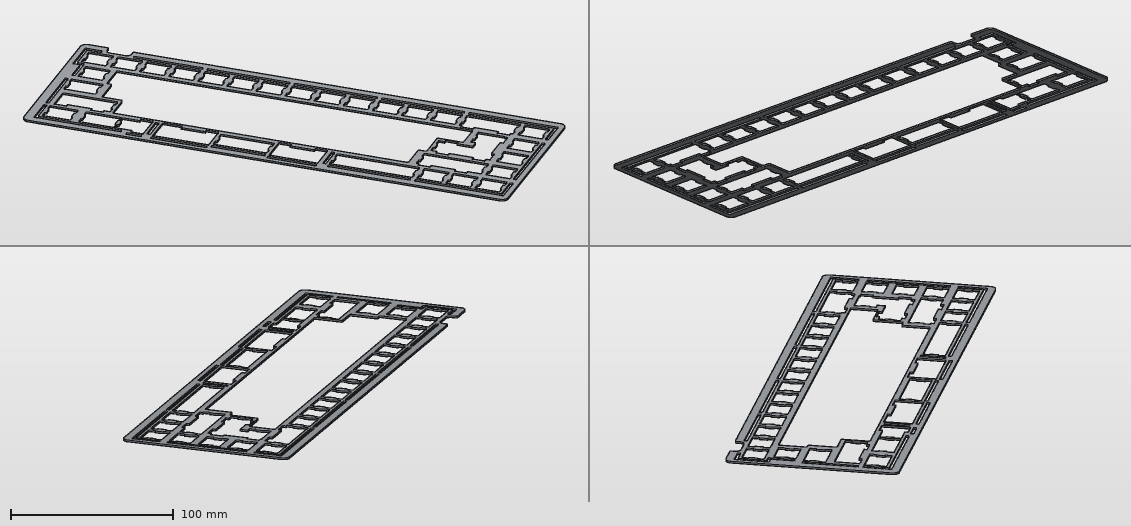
import cadquery as cq


PLATE_LENGTH = 317.0
PLATE_WIDTH = 108.6
PLATE_THICKNESS = 1.2
PLATE_CORNER_RADIUS = 4.0

UNIT = 19.05
COLUMNS = 16
GRID_LEFT = -COLUMNS * UNIT / 2
ROW_Y = [2 * UNIT, UNIT, 0.0, -UNIT, -2 * UNIT]

SWITCH_SIZE = 14.0
HALF_SWITCH = SWITCH_SIZE / 2
TAB_DEPTH = 1.0
TAB_WIDTH = 5.4
HALF_OPENING = HALF_SWITCH + TAB_DEPTH
CORNER_RADIUS = 0.49

STABILIZER_OFFSET = 11.94
STABILIZER_WIDTH = 8.0
HALF_STABILIZER = STABILIZER_WIDTH / 2
STABILIZER_REACH = 9.0

WEB = 2.0
SLOT_WIDTH = 2.0


def key_x(units):
    """X of a point given in key units from the left end of the key grid."""
    return GRID_LEFT + units * UNIT


def prism(points):
    """Through-cutter with a polygonal outline."""
    return cq.Workplane("XY").polyline(points).close().extrude(PLATE_THICKNESS)


def rounded(points, radius=CORNER_RADIUS):
    """Through-cutter with a polygonal outline and rounded corners."""
    return prism(points).edges("|Z").fillet(radius)


def box_points(left, right, bottom, top):
    return [(left, bottom), (right, bottom), (right, top), (left, top)]


def slot(left, right, bottom, top):
    return rounded(box_points(left, right, bottom, top))


def opening(left, right, y, left_tab=True, right_tab=True):
    """Switch opening between two X positions, with a tab on either end."""
    bottom, top = y - HALF_SWITCH, y + HALF_SWITCH
    tab_bottom, tab_top = y - TAB_WIDTH / 2, y + TAB_WIDTH / 2
    points = [(left, bottom), (right, bottom)]
    if right_tab:
        tip = right - TAB_DEPTH
        points += [(right, tab_bottom), (tip, tab_bottom), (tip, tab_top), (right, tab_top)]
    points += [(right, top), (left, top)]
    if left_tab:
        tip = left + TAB_DEPTH
        points += [(left, tab_top), (tip, tab_top), (tip, tab_bottom), (left, tab_bottom)]
    return rounded(points)


def key_opening(first, last, y):
    """Opening that takes a switch centred anywhere from `first` to `last` key units."""
    return opening(key_x(first) - HALF_OPENING, key_x(last) + HALF_OPENING, y)


def stabilizer(x, bottom, top):
    return prism(box_points(x - HALF_STABILIZER, x + HALF_STABILIZER, bottom, top))


def lower_stabilizers(center_x, y):
    """Pair of stabilizer notches along the lower edge of an opening."""
    left = stabilizer(center_x - STABILIZER_OFFSET, y - STABILIZER_REACH, y)
    right = stabilizer(center_x + STABILIZER_OFFSET, y - STABILIZER_REACH, y)
    return left.union(right)


FIRST_COLUMN = 0.5
NUMBER_KEYS = 13
LAST_COLUMN = 15.5
TAB_KEY = 0.75
CAPS_LOCK = (0.625, 0.875)
CONTROL = (0.625, 0.75)
LEFT_SHIFT = 1.125
ISO_SHIFT_KEY = 1.75
RIGHT_SHIFT = 13.625
RIGHT_SHIFT_KEYS = (13.125, 14.5)
BACKSPACE = 14.0
BACKSPACE_KEYS = (13.5, 14.5)
BACKSLASH = 14.25
HASH_KEY = 13.25
ANSI_ENTER = 13.875
ISO_ENTER = 14.375
META_KEYS = (1.875, 2.25)
LEFT_ALT = 3.125
LEFT_SPACE = 5.125
MIDDLE_SPACE_KEYS = (6.5, 7.5)
RIGHT_SPACE = 8.875
FULL_SPACE = 6.5
FULL_SPACE_STABILIZER_OFFSET = 3 * UNIT
LONG_SPACE = 6.875
LONG_SPACE_STABILIZER_OFFSET = 50.0
RIGHT_ALT_KEYS = (10.5, 12.5)
BOTTOM_RIGHT_KEYS = (13.5, 14.5)

FIELD_RIGHT = key_x(LAST_COLUMN) + HALF_OPENING
NUMBER_ROW_LEFT = key_x(FIRST_COLUMN) - HALF_OPENING
TAB_LEFT = key_x(TAB_KEY) - HALF_OPENING
CONTROL_LEFT = key_x(CONTROL[0]) - HALF_OPENING
SHIFT_LEFT = key_x(LEFT_SHIFT) - STABILIZER_OFFSET - HALF_STABILIZER
SHIFT_RIGHT = key_x(ISO_SHIFT_KEY) + HALF_OPENING
FULL_SPACE_LEFT = key_x(FULL_SPACE) - FULL_SPACE_STABILIZER_OFFSET
ALT_RIGHT = FULL_SPACE_LEFT + HALF_STABILIZER
LEFT_SPACE_LEFT = key_x(LONG_SPACE) - LONG_SPACE_STABILIZER_OFFSET - HALF_STABILIZER
LEFT_SPACE_RIGHT = key_x(LEFT_SPACE) + STABILIZER_OFFSET + HALF_STABILIZER
RIGHT_SPACE_LEFT = key_x(RIGHT_SPACE) - STABILIZER_OFFSET - HALF_STABILIZER
RIGHT_SPACE_RIGHT = key_x(RIGHT_SPACE) + STABILIZER_OFFSET + HALF_STABILIZER
MIDDLE_SPACE_LEFT = key_x(MIDDLE_SPACE_KEYS[0]) - HALF_OPENING
MIDDLE_SPACE_RIGHT = key_x(MIDDLE_SPACE_KEYS[1]) + HALF_OPENING
RIGHT_ALT_LEFT = key_x(RIGHT_ALT_KEYS[0]) - HALF_OPENING
RIGHT_ALT_RIGHT = key_x(RIGHT_ALT_KEYS[1]) + HALF_OPENING
BOTTOM_RIGHT_LEFT = key_x(BOTTOM_RIGHT_KEYS[0]) - HALF_OPENING

FIELD_TOP = ROW_Y[0] + HALF_SWITCH
FIELD_BOTTOM = ROW_Y[4] - HALF_SWITCH
SPACE_TOP = ROW_Y[4] + STABILIZER_REACH
SPACE_BOTTOM = ROW_Y[4] - STABILIZER_REACH

NOTCH_X = key_x(1)
NOTCH_HALF_WIDTH = 8.0
NOTCH_RIM = 3.0
NOTCH_FLOOR = FIELD_TOP + NOTCH_RIM
NOTCH_FLOOR_RADIUS = 3.0
NOTCH_MOUTH_RADIUS = 1.0
NOTCH_SLOT_CLEARANCE = 2.5

WINDOW_TOP = ROW_Y[0] - STABILIZER_REACH - WEB
WINDOW_STEP_Y = 9.05
WINDOW_ENTER_STEP_Y = 10.0
ROW_2_RIM = 4.0
WIDE_RIM = 5.0
WINDOW_CORNER_RADIUS = 1.0

KEYS_PER_BACK_SLOT = 3
FULL_BACK_SLOTS = 3
FIRST_BACK_SLOT_END = 3.5
RIB_SLOT_HALF_LENGTH = 8.0
BOTTOM_SLOT_GAP = 2 * WEB


def plate_blank():
    blank = cq.Workplane("XY").rect(PLATE_LENGTH, PLATE_WIDTH).extrude(PLATE_THICKNESS)
    return blank.edges("|Z").fillet(PLATE_CORNER_RADIUS)


def usb_notch(plate):
    back = PLATE_WIDTH / 2
    left, right = NOTCH_X - NOTCH_HALF_WIDTH, NOTCH_X + NOTCH_HALF_WIDTH
    cutter = prism(box_points(left, right, NOTCH_FLOOR, back))
    cutter = cutter.edges("|Z and <Y").fillet(NOTCH_FLOOR_RADIUS)
    plate = plate.cut(cutter)
    pick = cq.selectors.BoxSelector(
        (left - WEB, back - NOTCH_MOUTH_RADIUS, -PLATE_THICKNESS),
        (right + WEB, back + NOTCH_MOUTH_RADIUS, 2 * PLATE_THICKNESS),
    )
    return plate.edges("|Z").edges(pick).fillet(NOTCH_MOUTH_RADIUS)


def number_row():
    y = ROW_Y[0]
    cutters = [key_opening(FIRST_COLUMN + i, FIRST_COLUMN + i, y) for i in range(NUMBER_KEYS)]
    backspace = key_opening(*BACKSPACE_KEYS, y)
    cutters.append(backspace.union(lower_stabilizers(key_x(BACKSPACE), y)))
    return cutters


def last_column():
    return [key_opening(LAST_COLUMN, LAST_COLUMN, y) for y in ROW_Y]


def left_keys():
    shift = opening(SHIFT_LEFT, SHIFT_RIGHT, ROW_Y[3], left_tab=False)
    return [
        key_opening(TAB_KEY, TAB_KEY, ROW_Y[1]),
        key_opening(*CAPS_LOCK, ROW_Y[2]),
        shift.union(lower_stabilizers(key_x(LEFT_SHIFT), ROW_Y[3])),
    ]


def right_shift():
    y = ROW_Y[3]
    return key_opening(*RIGHT_SHIFT_KEYS, y).union(lower_stabilizers(key_x(RIGHT_SHIFT), y))


def enter_cluster():
    """Joined openings for a one-row enter, a two-row enter and their neighbours."""
    upper_y, lower_y = ROW_Y[1], ROW_Y[2]
    middle_y = (upper_y + lower_y) / 2
    iso_x = key_x(ISO_ENTER)
    ansi_x = key_x(ANSI_ENTER)
    left, right = iso_x - HALF_SWITCH, iso_x + HALF_SWITCH
    cluster = rounded(box_points(left, right, lower_y - HALF_SWITCH, upper_y + HALF_SWITCH))
    for key, y in ((BACKSLASH, upper_y), (HASH_KEY, lower_y)):
        cluster = cluster.union(opening(key_x(key) - HALF_OPENING, right, y, right_tab=False))
    cluster = cluster.union(lower_stabilizers(ansi_x, lower_y))
    top_notch = stabilizer(ansi_x - STABILIZER_OFFSET, lower_y, lower_y + STABILIZER_REACH)
    cluster = cluster.union(top_notch)
    for side in (-1, 1):
        y = middle_y + side * STABILIZER_OFFSET
        notch = box_points(iso_x, iso_x + STABILIZER_REACH, y - HALF_STABILIZER, y + HALF_STABILIZER)
        cluster = cluster.union(prism(notch))
    return cluster


def stabilized_space(left, right, center):
    """Rectangular spacebar opening; its upper edge drops between the two stabilizers."""
    inner_left = key_x(center) - STABILIZER_OFFSET + HALF_STABILIZER
    inner_right = key_x(center) + STABILIZER_OFFSET - HALF_STABILIZER
    drop_y = ROW_Y[4] + HALF_SWITCH
    return prism([
        (left, SPACE_BOTTOM), (right, SPACE_BOTTOM), (right, SPACE_TOP),
        (inner_right, SPACE_TOP), (inner_right, drop_y),
        (inner_left, drop_y), (inner_left, SPACE_TOP), (left, SPACE_TOP),
    ])


def bottom_row():
    y = ROW_Y[4]
    left_alt = opening(key_x(LEFT_ALT) - HALF_OPENING, ALT_RIGHT, y, right_tab=False)
    left_alt = left_alt.union(stabilizer(FULL_SPACE_LEFT, SPACE_BOTTOM, SPACE_TOP))
    cutters = [
        key_opening(*CONTROL, y),
        key_opening(*META_KEYS, y),
        left_alt,
        stabilized_space(LEFT_SPACE_LEFT, LEFT_SPACE_RIGHT, LEFT_SPACE),
        key_opening(*MIDDLE_SPACE_KEYS, y),
        stabilized_space(RIGHT_SPACE_LEFT, RIGHT_SPACE_RIGHT, RIGHT_SPACE),
        key_opening(*RIGHT_ALT_KEYS, y),
    ]
    cutters += [key_opening(key, key, y) for key in BOTTOM_RIGHT_KEYS]
    return cutters


def central_window():
    top, bottom = WINDOW_TOP, -WINDOW_TOP
    row_2_left = key_x(TAB_KEY) + HALF_OPENING + ROW_2_RIM
    row_3_left = key_x(CAPS_LOCK[1]) + HALF_OPENING + WIDE_RIM
    row_4_left = SHIFT_RIGHT + WEB
    row_2_right = key_x(BACKSLASH) - HALF_OPENING - ROW_2_RIM
    row_3_right = key_x(HASH_KEY) - HALF_OPENING - WEB
    row_4_right = key_x(RIGHT_SHIFT_KEYS[0]) - HALF_OPENING - WIDE_RIM
    outline = [
        (row_2_left, top), (row_2_right, top),
        (row_2_right, WINDOW_ENTER_STEP_Y), (row_3_right, WINDOW_ENTER_STEP_Y),
        (row_3_right, -WINDOW_STEP_Y), (row_4_right, -WINDOW_STEP_Y),
        (row_4_right, bottom), (row_4_left, bottom),
        (row_4_left, -WINDOW_STEP_Y), (row_3_left, -WINDOW_STEP_Y),
        (row_3_left, WINDOW_STEP_Y), (row_2_left, WINDOW_STEP_Y),
    ]
    return rounded(outline, WINDOW_CORNER_RADIUS)


def back_slots():
    """Slots behind the number row, split in line with the web after every third key."""
    inner, outer = FIELD_TOP + WEB, FIELD_TOP + WEB + SLOT_WIDTH
    first_left = NOTCH_X + NOTCH_HALF_WIDTH + NOTCH_SLOT_CLEARANCE
    cutters = [slot(first_left, key_x(FIRST_BACK_SLOT_END) + HALF_OPENING, inner, outer)]
    for group in range(FULL_BACK_SLOTS):
        first_key = FIRST_BACK_SLOT_END + 1 + group * KEYS_PER_BACK_SLOT
        last_key = first_key + KEYS_PER_BACK_SLOT - 1
        left = key_x(first_key) - HALF_OPENING
        right = key_x(last_key) + HALF_OPENING
        cutters.append(slot(left, right, inner, outer))
    return cutters


def left_slots():
    """Stepped slot beside the upper two rows and a straight one beside the next two."""
    back_inner, back_outer = FIELD_TOP + WEB, FIELD_TOP + WEB + SLOT_WIDTH
    upper_inner = NUMBER_ROW_LEFT - WEB
    upper_outer = upper_inner - SLOT_WIDTH
    lower_inner = TAB_LEFT - WEB
    lower_outer = lower_inner - SLOT_WIDTH
    step_top = ROW_Y[0] - HALF_SWITCH - WEB
    step_bottom = step_top - SLOT_WIDTH
    end_y = ROW_Y[1] - HALF_SWITCH
    end_x = NOTCH_X - NOTCH_HALF_WIDTH - NOTCH_SLOT_CLEARANCE
    stepped = rounded([
        (end_x, back_outer), (upper_outer, back_outer),
        (upper_outer, step_bottom), (lower_outer, step_bottom),
        (lower_outer, end_y), (lower_inner, end_y),
        (lower_inner, step_top), (upper_inner, step_top),
        (upper_inner, back_inner), (end_x, back_inner),
    ])
    straight_inner = CONTROL_LEFT - WEB
    straight = slot(
        straight_inner - SLOT_WIDTH, straight_inner,
        ROW_Y[3] - STABILIZER_REACH, ROW_Y[2] + HALF_SWITCH,
    )
    return [stepped, straight]


def corner_slot(side_inner, side_outer, side_end, edge_inner, edge_outer, edge_end):
    """L-shaped slot around one corner of the key field."""
    return rounded([
        (edge_end, edge_outer), (side_outer, edge_outer), (side_outer, side_end),
        (side_inner, side_end), (side_inner, edge_inner), (edge_end, edge_inner),
    ])


def right_slots():
    inner, outer = FIELD_RIGHT + WEB, FIELD_RIGHT + WEB + SLOT_WIDTH
    cutters = [slot(inner, outer, ROW_Y[3] - HALF_SWITCH, ROW_Y[1] + HALF_SWITCH)]
    for side in (-1, 1):
        edge_inner = side * (FIELD_TOP + WEB)
        edge_outer = side * (FIELD_TOP + WEB + SLOT_WIDTH)
        side_end = side * (ROW_Y[0] - HALF_SWITCH)
        cutters.append(corner_slot(inner, outer, side_end, edge_inner, edge_outer, BOTTOM_RIGHT_LEFT))
    return cutters


def front_slots():
    """Slots in front of the bottom row; they sit lower below the stabilizer cutouts."""
    inner, outer = FIELD_BOTTOM - WEB, FIELD_BOTTOM - WEB - SLOT_WIDTH
    low_inner, low_outer = SPACE_BOTTOM - WEB, SPACE_BOTTOM - WEB - SLOT_WIDTH
    side_inner = CONTROL_LEFT - WEB
    alt_slot_left = FULL_SPACE_LEFT - HALF_STABILIZER - WEB
    corner = corner_slot(
        side_inner, side_inner - SLOT_WIDTH, ROW_Y[4] + HALF_SWITCH,
        inner, outer, alt_slot_left - BOTTOM_SLOT_GAP,
    )
    return [
        corner,
        slot(alt_slot_left, ALT_RIGHT, low_outer, low_inner),
        slot(LEFT_SPACE_LEFT, LEFT_SPACE_RIGHT, low_outer, low_inner),
        slot(MIDDLE_SPACE_LEFT, MIDDLE_SPACE_RIGHT, outer, inner),
        slot(RIGHT_SPACE_LEFT, RIGHT_SPACE_RIGHT, low_outer, low_inner),
        slot(RIGHT_ALT_LEFT, RIGHT_ALT_RIGHT, outer, inner),
    ]


def rib_slots():
    """Upright slots on either side of the spacebar."""
    bottom, top = ROW_Y[4] - RIB_SLOT_HALF_LENGTH, ROW_Y[4] + RIB_SLOT_HALF_LENGTH
    right_end = RIGHT_ALT_LEFT - WEB
    return [
        slot(ALT_RIGHT + WEB, LEFT_SPACE_LEFT - WEB, bottom, top),
        slot(right_end - SLOT_WIDTH, right_end, bottom, top),
    ]


def build_plate():
    plate = usb_notch(plate_blank())
    cutters = number_row() + last_column() + left_keys() + bottom_row()
    cutters += [right_shift(), enter_cluster(), central_window()]
    cutters += back_slots() + left_slots() + right_slots() + front_slots() + rib_slots()
    return cq.Workplane(plate.val().cut(*[cutter.val() for cutter in cutters]))


result = build_plate()